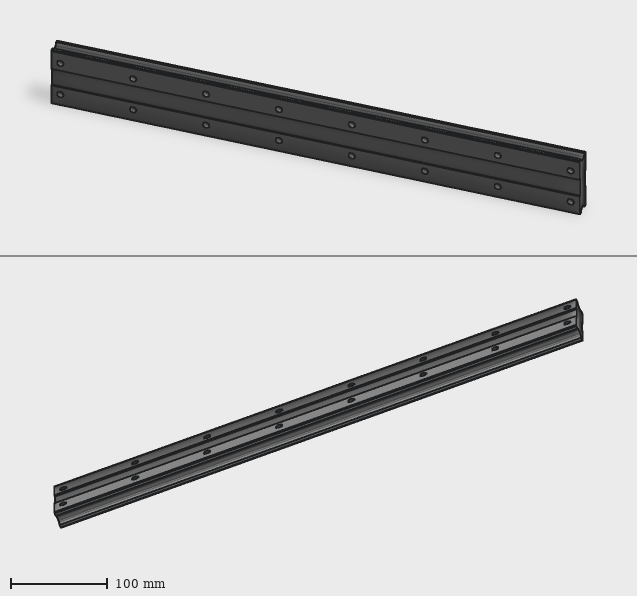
import cadquery as cq

length = 580.0
thickness = 19.0
height = 69.0
corner_chamfer = 1.0

recess_height = 21.5
recess_depth = 2.0

groove_mouth_width = 11.0
groove_floor_width = 6.0
groove_depth = 4.0
groove_fillet = 2.0

holes_per_row = 8
end_margin = 10.0
hole_pitch = (length - 2 * end_margin) / (holes_per_row - 1)
row_spacing = 40.0
hole_diameter = 7.0


def chamfered_bar():
    bar = cq.Workplane("XY").box(length, thickness, height)
    return bar.edges("|X").chamfer(corner_chamfer)


def face_recess(side):
    """Band to remove from the front (side=-1) or back (side=1) face."""
    center_y = side * (thickness - recess_depth) / 2
    return cq.Workplane("XY").box(length, recess_depth, recess_height).translate((0, center_y, 0))


def edge_groove(side):
    """Groove to remove from the top (side=1) or bottom (side=-1) edge."""
    mouth_z = side * height / 2
    floor_z = mouth_z - side * groove_depth
    floor_edges = "|X and <Z" if side > 0 else "|X and >Z"
    return (
        cq.Workplane("YZ")
        .moveTo(-groove_mouth_width / 2, mouth_z)
        .lineTo(-groove_floor_width / 2, floor_z)
        .lineTo(groove_floor_width / 2, floor_z)
        .lineTo(groove_mouth_width / 2, mouth_z)
        .close()
        .extrude(length / 2, both=True)
        .edges(floor_edges)
        .fillet(groove_fillet)
    )


def mounting_holes():
    return (
        cq.Workplane("XZ")
        .rarray(hole_pitch, row_spacing, holes_per_row, 2)
        .circle(hole_diameter / 2)
        .extrude(thickness, both=True)
    )


result = chamfered_bar()
for side in (-1, 1):
    result = result.cut(face_recess(side)).cut(edge_groove(side))
result = result.cut(mounting_holes())